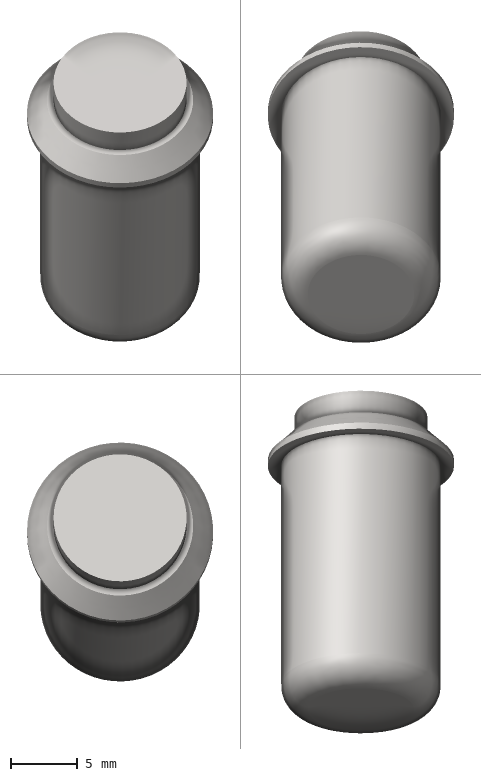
import cadquery as cq

body_diameter = 12.0
body_height = 20.0
bottom_edge_radius = 2.0
flange_diameter = 14.0
flange_height = 2.0
flange_chamfer = 1.5
button_diameter = 10.0
button_height = 2.0


def make_disc(diameter, height, base_z):
    """Cylinder on the Z axis with its lower face at base_z."""
    return cq.Workplane("XY").workplane(offset=base_z).circle(diameter / 2).extrude(height)


def make_body():
    """Long barrel with a rounded bottom edge."""
    barrel = make_disc(body_diameter, body_height, 0)
    return barrel.faces("<Z").edges().fillet(bottom_edge_radius)


def make_flange():
    """Collar on top of the barrel, bevelled along its upper edge."""
    collar = make_disc(flange_diameter, flange_height, body_height)
    return collar.faces(">Z").edges().chamfer(flange_chamfer)


def make_button():
    """Plain cylinder standing on the flange."""
    return make_disc(button_diameter, button_height, body_height + flange_height)


result = make_body().union(make_flange()).union(make_button())